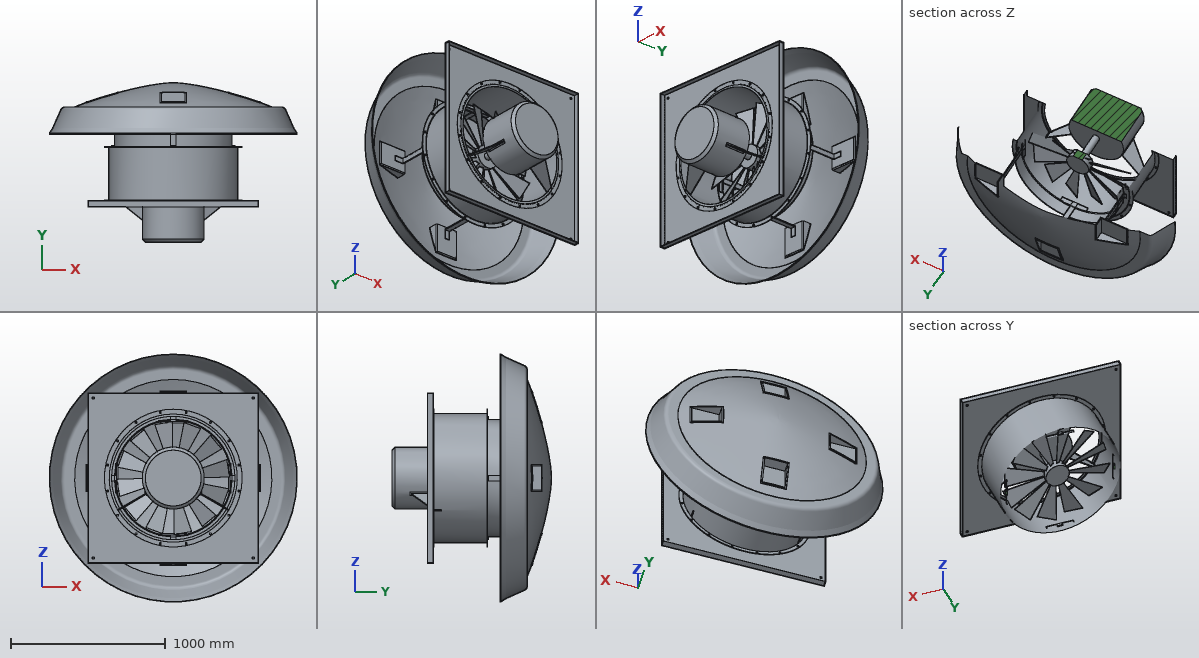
import cadquery as cq
import math


COVER_SHEET = 3.0
APEX_Y = 1030.0
SHOULDER_Y = 874.0
RIM_Y = 696.0
RIM_EDGE_HEIGHT = 8.0
RIM_RADIUS = 800.0
DOME_RADIUS = 636.0
CROWN_CONTROL_RADIUS = 150.0
FLANK_CONTROL_RADIUS = 470.0
FLANK_CONTROL_DROP = 86.0
SHOULDER_RADIUS = 697.0
LIP_Y = 737.0
LIP_RADIUS = 779.0
BEND_RADIUS = 32.0

STAY_COUNT = 4
POCKET_WIDTH = 174.0
POCKET_INNER_RADIUS = 366.0
POCKET_OUTER_RADIUS = 563.0
POCKET_FLOOR_Y = 902.0
POCKET_WALL = 10.0
POCKET_CHAMFER = 8.0
POCKET_LIP = 3.0

STAY_WIDTH = 36.0
STAY_THICKNESS = 8.0
STAY_TOE_HEIGHT = 18.0
STAY_FOOT_HEIGHT = 70.0
STAY_FOOT_THICKNESS = 5.0
CROSS_STRAP_LENGTH = 190.0
CROSS_STRAP_THICKNESS = 5.0
CROSS_STRAP_DEPTH = 36.0

CASING_RADIUS = 418.0
CASING_SHEET = 5.0
FLANGE_RADIUS = 444.0
FLANGE_THICKNESS = 5.0
CASING_BACK_Y = 618.0
RING_RADIUS = 379.0
RING_SHEET = 6.0
RING_BACK_Y = 700.0
BOLT_COUNT = 16
BOLT_CIRCLE_RADIUS = 432.0
BOLT_HOLE_DIAMETER = 12.0

TRAY_SIZE = 1100.0
TRAY_SHEET = 3.0
TRAY_LIP_THICKNESS = 5.0
TRAY_FRONT_Y = 229.0
TRAY_BACK_Y = 268.0
TRAY_OPENING_RADIUS = 398.0
TRAY_HOLE_OFFSET = 516.0
TRAY_HOLE_DIAMETER = 14.0

MOTOR_RADIUS = 200.0
MOTOR_LENGTH = 300.0
MOTOR_CHAMFER = 20.0
GUSSET_ANGLES = (210.0, 330.0)
GUSSET_THICKNESS = 6.0
GUSSET_INNER_RADIUS = MOTOR_RADIUS - 5.0
GUSSET_FOOT_WIDTH = 26.0
GUSSET_FOOT_RADIUS = MOTOR_RADIUS + 5.0
GUSSET_MOTOR_FRONT_Y = 118.0
GUSSET_MOTOR_BACK_Y = 275.0
GUSSET_CASING_FRONT_Y = 274.0
GUSSET_CASING_BACK_Y = 319.0

HUB_RADIUS = 81.0
HUB_FRONT_Y = 490.0
HUB_BACK_Y = 550.0
SHAFT_RADIUS = 25.0
BLADE_COUNT = 12
BLADE_SPAN_ANGLE = 18.0
BLADE_FIRST_ANGLE = 70.0
BLADE_ROOT_DISTANCE = 60.0
BLADE_TIP_DISTANCE = 360.0
BLADE_MIDDLE_Y = 515.0
BLADE_PITCH_ANGLE = 25.0
BLADE_THICKNESS = 5.0


def axial_cylinder(radius, y_start, y_end):
    """Solid cylinder on the Y axis."""
    profile = cq.Workplane("YZ").moveTo(y_start, 0).lineTo(y_start, radius)
    return profile.lineTo(y_end, radius).lineTo(y_end, 0).close().revolve(360, (0, 0, 0), (1, 0, 0))


def axial_ring(outer_radius, inner_radius, y_start, y_end):
    """Ring on the Y axis."""
    profile = cq.Workplane("YZ").moveTo(y_start, inner_radius).lineTo(y_start, outer_radius)
    profile = profile.lineTo(y_end, outer_radius).lineTo(y_end, inner_radius).close()
    return profile.revolve(360, (0, 0, 0), (1, 0, 0))


def block(x_size, y_start, y_end, z_start, z_end):
    """Box centred on X, between the given Y and Z limits."""
    box = cq.Workplane("XY").box(x_size, y_end - y_start, z_end - z_start, centered=(True, False, False))
    return box.translate((0, y_start, z_start))


def around_axis(shape, angle):
    """Turn a shape about the Y axis."""
    return shape.rotate((0, 0, 0), (0, 1, 0), angle)


def dome_core():
    """Everything inside the outer surface of the dome."""
    dome_curve = [
        (APEX_Y, 0),
        (APEX_Y, CROWN_CONTROL_RADIUS),
        (APEX_Y - FLANK_CONTROL_DROP, FLANK_CONTROL_RADIUS),
        (SHOULDER_Y, DOME_RADIUS),
    ]
    profile = cq.Workplane("YZ").bezier(dome_curve).lineTo(RIM_Y, DOME_RADIUS).lineTo(RIM_Y, 0).close()
    return profile.revolve(360, (0, 0, 0), (1, 0, 0))


def skirt():
    """Shoulder, skirt and lip as one turned sheet around the dome."""
    inner_bend = BEND_RADIUS - COVER_SHEET
    inner_shoulder_y = SHOULDER_Y - COVER_SHEET
    bend_centre_y = SHOULDER_Y - BEND_RADIUS
    run = LIP_RADIUS - SHOULDER_RADIUS
    drop = bend_centre_y - LIP_Y
    bend_angle = math.atan2(run, -drop) - math.acos(BEND_RADIUS / math.hypot(run, drop))

    def on_bend(bend, angle):
        return (bend_centre_y + bend * math.cos(angle), SHOULDER_RADIUS + bend * math.sin(angle))

    profile = (
        cq.Workplane("YZ")
        .moveTo(SHOULDER_Y, DOME_RADIUS)
        .lineTo(SHOULDER_Y, SHOULDER_RADIUS)
        .threePointArc(on_bend(BEND_RADIUS, bend_angle / 2), on_bend(BEND_RADIUS, bend_angle))
        .lineTo(LIP_Y, LIP_RADIUS)
        .lineTo(RIM_Y + RIM_EDGE_HEIGHT, RIM_RADIUS)
        .lineTo(RIM_Y, RIM_RADIUS)
        .lineTo(RIM_Y, RIM_RADIUS - COVER_SHEET)
        .lineTo(LIP_Y, LIP_RADIUS - COVER_SHEET)
        .lineTo(*on_bend(inner_bend, bend_angle))
        .threePointArc(on_bend(inner_bend, bend_angle / 2), (inner_shoulder_y, SHOULDER_RADIUS))
        .lineTo(inner_shoulder_y, DOME_RADIUS)
        .close()
    )
    return profile.revolve(360, (0, 0, 0), (1, 0, 0))


def cover():
    """Domed sheet and skirt with the box-shaped pockets sunk into the dome."""
    inside_dome = dome_core()
    body = inside_dome.cut(inside_dome.translate((0, -COVER_SHEET, 0))).union(skirt())
    outer = block(
        POCKET_WIDTH,
        POCKET_FLOOR_Y - POCKET_WALL,
        APEX_Y,
        POCKET_INNER_RADIUS - POCKET_WALL,
        POCKET_OUTER_RADIUS,
    )
    hollow = block(
        POCKET_WIDTH - 2 * POCKET_WALL,
        POCKET_FLOOR_Y,
        APEX_Y,
        POCKET_INNER_RADIUS,
        POCKET_OUTER_RADIUS - POCKET_WALL,
    )
    outer = outer.faces("<Y").edges("<X or >X or >Z").chamfer(POCKET_CHAMFER)
    pocket = outer.cut(hollow).intersect(inside_dome.translate((0, POCKET_LIP, 0)))
    for index in range(STAY_COUNT):
        angle = index * 360 / STAY_COUNT
        body = body.cut(around_axis(hollow, angle)).union(around_axis(pocket, angle))
    return body


def stay():
    """Stay on the +Z side with its foot on the pocket and its cross strap inside the casing."""
    foot_y = POCKET_FLOOR_Y - POCKET_WALL
    bar_bottom = RING_RADIUS - STAY_THICKNESS
    strap_start = CASING_BACK_Y - CROSS_STRAP_DEPTH
    bar = block(STAY_WIDTH, strap_start, foot_y, bar_bottom, RING_RADIUS)
    foot = block(STAY_WIDTH, foot_y - STAY_FOOT_THICKNESS, foot_y, bar_bottom, bar_bottom + STAY_FOOT_HEIGHT)
    toe = block(
        STAY_WIDTH,
        CASING_BACK_Y,
        CASING_BACK_Y + STAY_FOOT_THICKNESS,
        bar_bottom,
        RING_RADIUS + STAY_TOE_HEIGHT,
    )
    strap = block(
        CROSS_STRAP_LENGTH,
        strap_start,
        CASING_BACK_Y,
        bar_bottom - CROSS_STRAP_THICKNESS,
        bar_bottom,
    )
    return bar.union(foot).union(toe).union(strap)


def bolt_holes():
    """Circle of bolt holes running through the tray and both flanges."""
    hole = cq.Workplane("XZ").circle(BOLT_HOLE_DIAMETER / 2).extrude(-CASING_BACK_Y)
    hole = hole.translate((0, FLANGE_THICKNESS, BOLT_CIRCLE_RADIUS))
    holes = cq.Workplane("XY")
    for index in range(BOLT_COUNT):
        holes = holes.add(around_axis(hole, (index + 0.5) * 360 / BOLT_COUNT))
    return holes.combine()


def casing():
    """Flanged casing stepped down to the discharge ring."""
    shell = axial_ring(CASING_RADIUS, CASING_RADIUS - CASING_SHEET, TRAY_BACK_Y, CASING_BACK_Y)
    ring_bore = RING_RADIUS - RING_SHEET
    front_flange = axial_ring(
        FLANGE_RADIUS, CASING_RADIUS - CASING_SHEET, TRAY_BACK_Y, TRAY_BACK_Y + FLANGE_THICKNESS
    )
    back_flange = axial_ring(FLANGE_RADIUS, ring_bore, CASING_BACK_Y - FLANGE_THICKNESS, CASING_BACK_Y)
    ring = axial_ring(RING_RADIUS, ring_bore, CASING_BACK_Y - FLANGE_THICKNESS, RING_BACK_Y)
    return shell.union(front_flange).union(back_flange).union(ring)


def tray():
    """Square tray with a round opening and four corner holes."""
    body = block(TRAY_SIZE, TRAY_FRONT_Y, TRAY_BACK_Y, -TRAY_SIZE / 2, TRAY_SIZE / 2)
    inner_half = TRAY_SIZE / 2 - TRAY_LIP_THICKNESS
    body = body.cut(block(2 * inner_half, TRAY_FRONT_Y, TRAY_BACK_Y - TRAY_SHEET, -inner_half, inner_half))
    body = body.cut(axial_cylinder(TRAY_OPENING_RADIUS, TRAY_FRONT_Y, TRAY_BACK_Y))
    corner_holes = (
        cq.Workplane("XZ")
        .rect(2 * TRAY_HOLE_OFFSET, 2 * TRAY_HOLE_OFFSET, forConstruction=True)
        .vertices()
        .circle(TRAY_HOLE_DIAMETER / 2)
        .extrude(-TRAY_BACK_Y)
    )
    return body.cut(corner_holes)


def motor():
    """Motor drum with a chamfered front edge."""
    return axial_cylinder(MOTOR_RADIUS, 0, MOTOR_LENGTH).faces("<Y").chamfer(MOTOR_CHAMFER)


def gusset(angle):
    """Radial plate with a foot on the motor, at an angle from +X toward +Z."""
    plate = (
        cq.Workplane("XY")
        .moveTo(GUSSET_INNER_RADIUS, GUSSET_MOTOR_FRONT_Y)
        .lineTo(CASING_RADIUS, GUSSET_CASING_FRONT_Y)
        .lineTo(CASING_RADIUS, GUSSET_CASING_BACK_Y)
        .lineTo(GUSSET_INNER_RADIUS, GUSSET_MOTOR_BACK_Y)
        .close()
        .extrude(GUSSET_THICKNESS / 2, both=True)
    )
    foot = (
        cq.Workplane("XY")
        .box(
            GUSSET_FOOT_RADIUS - GUSSET_INNER_RADIUS,
            GUSSET_MOTOR_BACK_Y - GUSSET_MOTOR_FRONT_Y,
            GUSSET_FOOT_WIDTH,
            centered=(False, False, True),
        )
        .translate((GUSSET_INNER_RADIUS, GUSSET_MOTOR_FRONT_Y, 0))
    )
    return around_axis(plate.union(foot), -angle)


def blade():
    """Flat pitched blade along +X whose leading and trailing edges are radial."""
    slope = math.tan(math.radians(BLADE_SPAN_ANGLE / 2))

    def section(distance):
        half = distance * slope
        rise = half * math.tan(math.radians(BLADE_PITCH_ANGLE))
        return [
            (-half, rise + BLADE_THICKNESS),
            (-half, rise),
            (half, -rise),
            (half, BLADE_THICKNESS - rise),
        ]

    plane = cq.Plane(origin=(BLADE_ROOT_DISTANCE, BLADE_MIDDLE_Y, 0), xDir=(0, 0, 1), normal=(-1, 0, 0))
    root = cq.Workplane(plane).polyline(section(BLADE_ROOT_DISTANCE)).close()
    tip_offset = BLADE_ROOT_DISTANCE - BLADE_TIP_DISTANCE
    return root.workplane(offset=tip_offset).polyline(section(BLADE_TIP_DISTANCE)).close().loft(ruled=True)


def fan_wheel():
    """Shaft, hub and blades."""
    wheel = axial_cylinder(SHAFT_RADIUS, MOTOR_LENGTH, HUB_BACK_Y)
    wheel = wheel.union(axial_cylinder(HUB_RADIUS, HUB_FRONT_Y, HUB_BACK_Y))
    for index in range(BLADE_COUNT):
        wheel = wheel.union(around_axis(blade(), -(BLADE_FIRST_ANGLE + index * 360 / BLADE_COUNT)))
    return wheel


def fan():
    """Complete fan joined into one solid."""
    body = casing().union(tray()).cut(bolt_holes())
    body = body.union(cover())
    for index in range(STAY_COUNT):
        body = body.union(around_axis(stay(), index * 360 / STAY_COUNT))
    body = body.union(motor())
    for angle in GUSSET_ANGLES:
        body = body.union(gusset(angle))
    return body.union(fan_wheel())


result = fan()